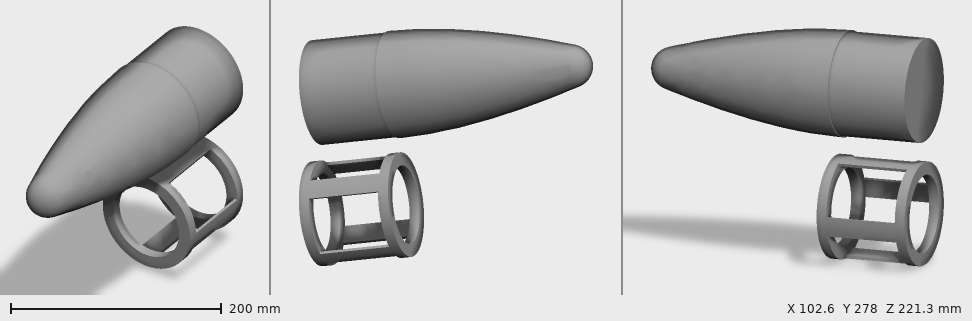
import cadquery as cq
import math

total_length = 278.0
rear_y = total_length / 2
tip_y = -total_length / 2
axis_spacing = 120.0
outer_radius = 50.0

tube_length = 78.0
nose_base_radius = 51.3
nose_mid_offset = 97.9
nose_mid_radius = 41.1
tip_radius = 20.8
shoulder_radius = 20.0

cage_length = 90.0
ring_thickness = 10.0
ring_bore_radius = 37.5
strut_count = 4
strut_thickness = 3.0
strut_sweep = 22.5


def make_rocket():
    """Cylindrical tube and tapering nose, revolved about the rocket axis."""
    base_y = rear_y - tube_length
    mid_y = base_y - nose_mid_offset
    tip_center_y = tip_y + tip_radius
    shoulder_y = tip_center_y - math.sqrt(tip_radius**2 - shoulder_radius**2)
    shoulder_tangent = (shoulder_y - tip_center_y, -shoulder_radius)
    half_angle = math.asin(shoulder_radius / tip_radius) / 2
    arc_mid = (tip_radius * math.sin(half_angle), tip_center_y - tip_radius * math.cos(half_angle))
    profile = (
        cq.Workplane("XY")
        .moveTo(0, rear_y)
        .lineTo(outer_radius, rear_y)
        .lineTo(outer_radius, base_y)
        .lineTo(nose_base_radius, base_y)
        .spline(
            [(nose_mid_radius, mid_y), (shoulder_radius, shoulder_y)],
            tangents=[(0, -1), shoulder_tangent],
            includeCurrent=True,
        )
        .threePointArc(arc_mid, (0, tip_y))
        .close()
    )
    return profile.revolve(360, (0, 0, 0), (0, 1, 0)).translate((0, 0, axis_spacing))


def make_ring(ring_rear_y):
    """Flat ring extending toward -Y from its rear face."""
    return (
        cq.Workplane("XZ", origin=(0, ring_rear_y, 0))
        .circle(outer_radius)
        .circle(ring_bore_radius)
        .extrude(ring_thickness)
    )


def make_strut(start_angle):
    """Thin arc-section strut spanning the space between the two rings."""
    inner_radius = outer_radius - strut_thickness

    def point(radius, fraction):
        angle = math.radians(start_angle - fraction * strut_sweep)
        return (radius * math.cos(angle), radius * math.sin(angle))

    return (
        cq.Workplane("XZ", origin=(0, rear_y - ring_thickness, 0))
        .moveTo(*point(outer_radius, 0))
        .threePointArc(point(outer_radius, 0.5), point(outer_radius, 1))
        .lineTo(*point(inner_radius, 1))
        .threePointArc(point(inner_radius, 0.5), point(inner_radius, 0))
        .close()
        .extrude(cage_length - 2 * ring_thickness)
    )


rocket = make_rocket()
rear_ring = make_ring(rear_y)
front_ring = make_ring(rear_y - cage_length + ring_thickness)
struts = [make_strut(index * 360 / strut_count) for index in range(strut_count)]

result = cq.Compound.makeCompound(
    [rocket.val(), rear_ring.val(), front_ring.val(), *[strut.val() for strut in struts]]
)